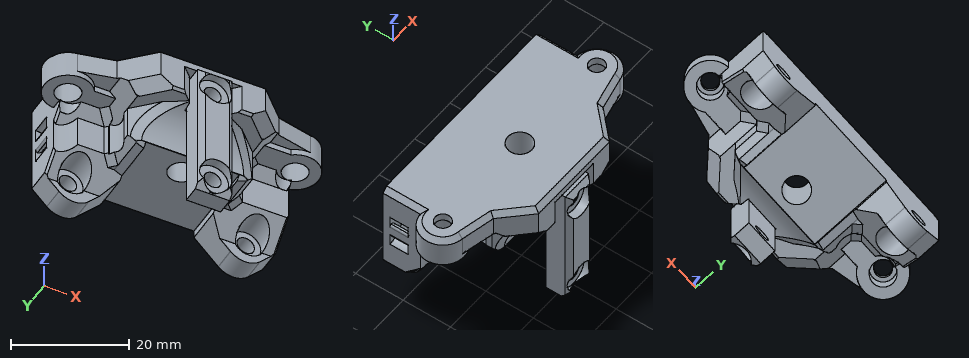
import cadquery as cq
import math


overall_width = 52.5
ear_spacing = 43.45
ear_x = ear_spacing / 2
ear_radius = overall_width / 2 - ear_x
ear_hole = 3.2
ear_counterbore = 4.7
ear_counterbore_z = -1.6
ear_thickness = 6.1
rim_thickness = 4.95
plate_thickness = 8.05
body_half_width = 22.1
back_y = 12.4
front_y = -11.45
front_half_width = 10.05
ear_front_x = 22.25
flank_x = 15.5
flank_y = front_y + flank_x - front_half_width
top_chamfer = 1.0
flank_chamfer = 2.1
lip_chamfer = 0.45
left_boss_front_y = -2.45
right_boss_front_y = -3.6
center_hole = 5.0

bay_x = 11.95
bay_y = 2.95
bay_corner = 1.25
bay_floor_z = -14.0
roof_relief_x = 20.9
roof_relief_top_radius = 2.4
roof_relief_bottom_radius = 3.0
roof_side_chamfer = 0.4
bay_outer_x = 31.5

foot_y = 7.95
foot_inner_x = 8.9
foot_side_z = -18.2
foot_inner_z = -16.45
foot_round = 4.0
foot_hole_x = 17.0
foot_hole_z = -17.6
foot_hole = 3.3
foot_counterbore = 5.8
foot_counterbore_floor_y = 8.9
foot_side_chamfer = 0.4

nose_side_y = -3.1
nose_bottom_z = -15.8
nose_edge_z = -15.45
channel_z = -15.0
arch_z = channel_z
arch_radius = -plate_thickness - arch_z
arch_wall_y = -4.05
arch_y = arch_wall_y - arch_radius
arch_flank_chamfer = 0.9
arch_front_chamfer = 1.25
nose_bottom_chamfer = 0.85
groove_radius = 3.5
groove_depth = 0.45

tie_y_min = 7.05
tie_y_max = 10.9
tie_z = -9.7
tie_outer_radius = 3.45
tie_inner_radius = 1.45
tie_lip_round = 0.5

bar_width = 6.55
bar_back_y = -7.95
bar_front_y = -13.0
bar_top_z = -2.55
bar_bottom_z = -28.75
bar_chamfer = 1.0
bar_bottom_chamfer = 1.85
bar_hole = 3.2
bar_counterbore = 6.1
bar_counterbore_depth = 1.8
bar_hole_z = -6.35
bar_hole_spacing = 19.1

seat_gap = 0.2
seat_half_width = bar_width / 2 + seat_gap
seat_mouth_half_width = 5.45


def block(x_min, x_max, y_min, y_max, z_min, z_max):
    size = (x_max - x_min, y_max - y_min, z_max - z_min)
    return cq.Workplane("XY").box(*size, centered=False).translate((x_min, y_min, z_min))


def along_z(points, z_low, z_high):
    return cq.Workplane("XY").workplane(offset=z_low).polyline(points).close().extrude(z_high - z_low)


def along_y(points, y_low, y_high):
    return cq.Workplane("XZ", origin=(0, y_low, 0)).polyline(points).close().extrude(y_low - y_high)


def along_x(points, x_low, x_high):
    return cq.Workplane("YZ", origin=(x_low, 0, 0)).polyline(points).close().extrude(x_high - x_low)


def y_cylinder(x, z, diameter, y_low, y_high):
    return cq.Workplane("XZ", origin=(x, y_low, z)).circle(diameter / 2).extrude(y_low - y_high)


def z_cylinder(x, y, radius, z_low, z_high):
    return cq.Workplane("XY", origin=(x, y, z_low)).circle(radius).extrude(z_high - z_low)


def mirrored(shape):
    return shape.mirror("YZ")


def ear_edge_y(x):
    """Distance from the ear axis to the ear circle, measured along Y at the given X."""
    return math.sqrt(ear_radius ** 2 - (x - ear_x) ** 2)


def make_plate():
    meet_y = ear_edge_y(body_half_width)
    ear_front_y = -ear_edge_y(ear_front_x)
    plate = (
        cq.Workplane("XY")
        .moveTo(-body_half_width, back_y)
        .lineTo(-body_half_width, meet_y)
        .threePointArc((-ear_x - ear_radius, 0), (-ear_front_x, ear_front_y))
        .lineTo(-flank_x, flank_y)
        .lineTo(-front_half_width, front_y)
        .lineTo(front_half_width, front_y)
        .lineTo(flank_x, flank_y)
        .lineTo(ear_front_x, ear_front_y)
        .threePointArc((ear_x + ear_radius, 0), (body_half_width, meet_y))
        .lineTo(body_half_width, back_y)
        .close()
        .extrude(-plate_thickness)
    )
    plate = plate.faces(">Z").edges("not >Y").chamfer(top_chamfer)
    flank_mid_x = (flank_x + front_half_width) / 2
    flank_mid_y = (flank_y + front_y) / 2
    for side in (-1, 1):
        flank_edge = cq.NearestToPointSelector((side * flank_mid_x, flank_mid_y, -plate_thickness))
        plate = plate.edges(flank_edge).chamfer(flank_chamfer)
    lip_edge = cq.NearestToPointSelector((0, front_y, -plate_thickness))
    return plate.edges(lip_edge).chamfer(lip_chamfer)


def make_feet_block():
    """Rear block with the channel between two pointed feet."""
    tip_x = (body_half_width + foot_inner_x + foot_inner_z - foot_side_z) / 2
    tip_z = foot_side_z - (body_half_width - tip_x)
    outline = [
        (body_half_width, -top_chamfer),
        (body_half_width, foot_side_z),
        (tip_x, tip_z),
        (foot_inner_x, foot_inner_z),
        (foot_inner_x, channel_z),
        (0, channel_z),
        (0, -top_chamfer),
    ]
    half = along_y(outline, bay_y, back_y)
    tip_edge = cq.NearestToPointSelector((tip_x, (bay_y + back_y) / 2, tip_z))
    half = half.edges(tip_edge).fillet(foot_round)
    block_depth = foot_y - bay_y
    underside = along_x(
        [
            (bay_y, bay_floor_z),
            (foot_y, bay_floor_z - block_depth),
            (foot_y, tip_z),
            (bay_y, tip_z),
        ],
        0,
        body_half_width,
    )
    half = half.cut(underside)
    slope_mid_y = (bay_y + foot_y) / 2 - foot_side_chamfer
    slope_mid_z = bay_floor_z - (slope_mid_y - bay_y)
    slope_edge = cq.NearestToPointSelector((body_half_width, slope_mid_y, slope_mid_z))
    half = half.edges(slope_edge).chamfer(foot_side_chamfer)
    return half.union(mirrored(half))


def cut_arch(nose):
    """Hollow the nose front into a concave curve and bevel the rims and the lower edge."""
    arch = cq.Workplane("YZ", origin=(-bay_x, arch_y, arch_z)).circle(arch_radius).extrude(2 * bay_x)
    below = block(-bay_x, bay_x, arch_y, arch_wall_y, nose_bottom_z, arch_z)
    nose = nose.cut(arch).cut(below)
    diagonal = arch_radius * math.sqrt(0.5)
    rim_y = arch_y + diagonal
    rim_z = arch_z + diagonal
    rim_x = bay_x - (nose_side_y - rim_y)
    for side in (-1, 1):
        rim = cq.NearestToPointSelector((side * rim_x, rim_y, rim_z))
        nose = nose.edges(rim).chamfer(arch_flank_chamfer, arch_front_chamfer)
    lower_edge = along_x(
        [
            (arch_wall_y, nose_bottom_z + nose_bottom_chamfer),
            (arch_wall_y + nose_bottom_chamfer, nose_bottom_z),
            (arch_wall_y, nose_bottom_z),
        ],
        -bay_x,
        bay_x,
    )
    return nose.cut(lower_edge)


def make_nose():
    """Tapered block below the plate with a concave front and the channel through its underside."""
    nose_rear_y = bay_y + bay_floor_z - nose_bottom_z
    tip_half_width = bay_x - (nose_side_y - arch_y)
    outline = [
        (-bay_x - bay_corner, nose_rear_y),
        (-bay_x - bay_corner, bay_y),
        (-bay_x, bay_y - bay_corner),
        (-bay_x, nose_side_y),
        (-tip_half_width, arch_y),
        (tip_half_width, arch_y),
        (bay_x, nose_side_y),
        (bay_x, bay_y - bay_corner),
        (bay_x + bay_corner, bay_y),
        (bay_x + bay_corner, nose_rear_y),
    ]
    nose = cut_arch(along_z(outline, nose_bottom_z, -plate_thickness))
    channel = block(-foot_inner_x, foot_inner_x, arch_y, nose_rear_y, nose_bottom_z, channel_z)
    bottom_slope = along_y(
        [
            (foot_inner_x, nose_bottom_z),
            (bay_x + nose_edge_z - bay_floor_z, nose_edge_z),
            (bay_x + bay_corner, nose_edge_z),
            (bay_x + bay_corner, nose_bottom_z),
        ],
        arch_y,
        nose_rear_y,
    )
    return nose.cut(channel).cut(bottom_slope).cut(mirrored(bottom_slope))


def bay_outline(offset):
    """Plan outline of the right bay, with its inner and rear sides moved out by the offset."""
    inner_x = bay_x - offset
    rear_y = bay_y + offset
    return [
        (bay_outer_x, rear_y),
        (inner_x + bay_corner, rear_y),
        (inner_x, rear_y - bay_corner),
        (inner_x, front_y),
        (bay_outer_x, front_y),
    ]


def bay_layer(offset_low, z_low, offset_high, z_high):
    layer = cq.Workplane("XY").workplane(offset=z_low).polyline(bay_outline(offset_low)).close()
    layer = layer.workplane(offset=z_high - z_low).polyline(bay_outline(offset_high)).close()
    return layer.loft(ruled=True)


def make_bay():
    """Space below the right ear: 45-degree roof, straight walls, flared underside."""
    roof_rise = plate_thickness - ear_thickness
    flare = bay_floor_z - nose_bottom_z
    roof = bay_layer(0, -plate_thickness, -roof_rise, -ear_thickness)
    walls = bay_layer(0, bay_floor_z, 0, -plate_thickness)
    underside = bay_layer(flare, nose_bottom_z, 0, bay_floor_z)
    ear_underside = block(body_half_width, bay_outer_x, front_y, back_y, -plate_thickness, -ear_thickness)
    return roof.union(walls).union(underside).union(ear_underside)


def make_rim_relief(boss_front_y):
    """Thinner rim in front of the right ear boss, rising along the bay roof."""
    rise = plate_thickness - rim_thickness
    relief = along_y(
        [
            (bay_outer_x, -plate_thickness),
            (bay_x, -plate_thickness),
            (bay_x + rise, -rim_thickness),
            (bay_outer_x, -rim_thickness),
        ],
        front_y,
        boss_front_y,
    )
    return relief.cut(z_cylinder(ear_x, 0, ear_radius, -plate_thickness, 0))


def make_ear_clearance():
    """Round clearance for the left screw, bounded above by the sloping roof."""
    drop = ear_radius
    column = z_cylinder(-ear_x, 0, ear_radius, foot_side_z, -plate_thickness)
    below_roof = along_x(
        [
            (bay_y, -plate_thickness),
            (bay_y + drop, -plate_thickness - drop),
            (bay_y + drop, foot_side_z),
            (bay_y, foot_side_z),
        ],
        -bay_outer_x,
        -bay_x,
    )
    return column.intersect(below_roof)


def chamfer_roof_sides(bracket):
    """Bevel the edges where the sloping bay roofs meet the outer sides."""
    roof_mid_y = bay_y - (plate_thickness - ear_thickness) / 2
    roof_mid_z = -(plate_thickness + ear_thickness) / 2
    for side in (-1, 1):
        edge = cq.NearestToPointSelector((side * body_half_width, roof_mid_y, roof_mid_z))
        bracket = bracket.edges(edge).chamfer(roof_side_chamfer)
    return bracket


def make_roof_relief():
    """Conical relief in the right bay roof, widening downward."""
    relief = cq.Workplane("XY", origin=(roof_relief_x, 0, -plate_thickness))
    relief = relief.circle(roof_relief_bottom_radius).workplane(offset=plate_thickness - ear_thickness)
    return relief.circle(roof_relief_top_radius).loft()


def make_groove():
    """Shallow upright groove in the left wall of the nose, below the bay roof."""
    axis_x = -bay_x + groove_depth - groove_radius
    column = z_cylinder(axis_x, 0, groove_radius, nose_bottom_z, -ear_thickness)
    outer_x = -bay_x - bay_corner / 2
    inner_x = -bay_x + groove_depth
    below_roof = along_y(
        [
            (outer_x, nose_bottom_z),
            (outer_x, -plate_thickness + bay_corner / 2),
            (inner_x, -plate_thickness - groove_depth),
            (inner_x, nose_bottom_z),
        ],
        nose_side_y,
        bay_y,
    )
    return column.intersect(below_roof)


def make_tie_loop():
    """Half-ring tunnel for a cable tie, with the inner lips of its two mouths rounded."""
    face_x = -body_half_width
    width = tie_y_max - tie_y_min
    loop = cq.Workplane("XZ", origin=(face_x, tie_y_min, tie_z))
    loop = loop.circle(tie_outer_radius).circle(tie_inner_radius).extrude(-width)
    arc_step = tie_lip_round * (1 - math.sqrt(0.5))
    for side in (-1, 1):
        lip = (
            cq.Workplane("XZ", origin=(face_x, tie_y_min, tie_z))
            .moveTo(0, side * (tie_inner_radius - tie_lip_round))
            .threePointArc(
                (arc_step, side * (tie_inner_radius - arc_step)),
                (tie_lip_round, side * tie_inner_radius),
            )
            .lineTo(0, side * tie_inner_radius)
            .close()
            .extrude(-width)
        )
        loop = loop.union(lip)
    return loop


def make_bar_seat():
    """Slot for the bar in the front edge of the plate, with a flared mouth."""
    top_z = bar_top_z + seat_gap
    flare = seat_mouth_half_width - seat_half_width
    outline = [
        (-seat_mouth_half_width, front_y),
        (-seat_half_width, front_y + flare),
        (-seat_half_width, bar_back_y),
        (seat_half_width, bar_back_y),
        (seat_half_width, front_y + flare),
        (seat_mouth_half_width, front_y),
    ]
    return along_z(outline, nose_bottom_z, top_z)


def make_bracket():
    bracket = make_plate().union(make_feet_block()).union(make_nose())
    bay = make_bay()
    bracket = bracket.cut(bay).cut(mirrored(bay))
    bracket = bracket.cut(make_rim_relief(right_boss_front_y))
    bracket = bracket.cut(mirrored(make_rim_relief(left_boss_front_y)))
    bracket = bracket.cut(make_ear_clearance())
    bracket = chamfer_roof_sides(bracket)
    relief = make_roof_relief()
    bracket = bracket.cut(relief).cut(mirrored(relief))
    bracket = bracket.cut(make_groove())
    bracket = bracket.cut(make_tie_loop())
    bracket = bracket.cut(make_bar_seat())
    bracket = bracket.cut(z_cylinder(0, 0, center_hole / 2, nose_bottom_z, 0))
    for side in (-1, 1):
        x = side * ear_x
        bracket = bracket.cut(z_cylinder(x, 0, ear_hole / 2, -ear_thickness, 0))
        bracket = bracket.cut(z_cylinder(x, 0, ear_counterbore / 2, -ear_thickness, ear_counterbore_z))
        x = side * foot_hole_x
        bracket = bracket.cut(y_cylinder(x, foot_hole_z, foot_hole, bay_y, back_y))
        bracket = bracket.cut(
            y_cylinder(x, foot_hole_z, foot_counterbore, bay_y, foot_counterbore_floor_y)
        )
    return bracket


def make_bar():
    half_width = bar_width / 2
    bar = block(-half_width, half_width, bar_front_y, bar_back_y, bar_bottom_z, bar_top_z)
    bar = bar.faces("<Y").edges(">Z or <X or >X").chamfer(bar_chamfer)
    bottom = along_x(
        [
            (bar_front_y, bar_bottom_z),
            (bar_front_y + bar_bottom_chamfer, bar_bottom_z),
            (bar_front_y, bar_bottom_z + bar_bottom_chamfer),
        ],
        -half_width,
        half_width,
    )
    bar = bar.cut(bottom)
    floor_y = bar_front_y + bar_counterbore_depth
    for z in (bar_hole_z, bar_hole_z - bar_hole_spacing):
        bar = bar.cut(y_cylinder(0, z, bar_hole, bar_front_y, bar_back_y))
        bar = bar.cut(y_cylinder(0, z, bar_counterbore, bar_front_y, floor_y))
    return bar


bracket = make_bracket()
bar = make_bar()

result = cq.Compound.makeCompound([bracket.val(), bar.val()])